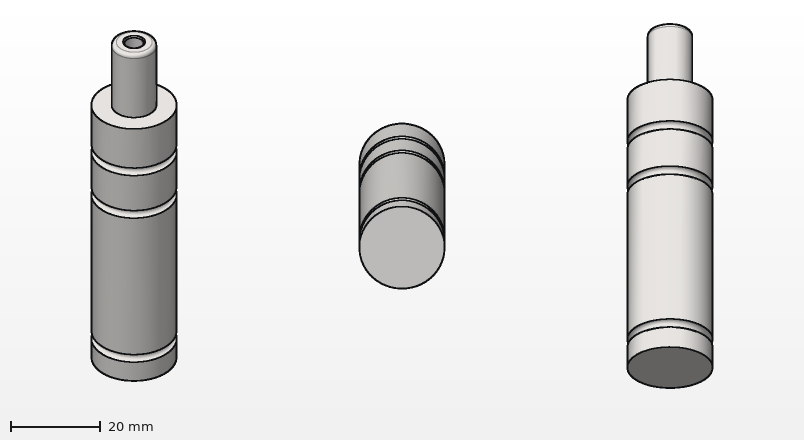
import cadquery as cq
import math

total_length = 85.0
body_length = 68.0
body_radius = 9.5
rod_radius = 5.0
rod_rim_radius = 1.0

groove_radius = 1.0
groove_heights = (6.1, 45.0, 56.4)

hole_radius = 2.1
hole_mouth_radius = 2.5
hole_depth = 10.0
drill_tip_angle = 118.0
hole_chamfer = hole_mouth_radius - hole_radius
drill_tip_length = hole_radius / math.tan(math.radians(drill_tip_angle / 2))


def body_with_rod():
    """Revolve the half section of the grooved body and the round-edged rod."""
    section = cq.Workplane("XZ").lineTo(body_radius, 0)
    for height in groove_heights:
        section = section.lineTo(body_radius, height - groove_radius).threePointArc(
            (body_radius - groove_radius, height),
            (body_radius, height + groove_radius),
        )
    rim_inset = rod_rim_radius * (1 - math.sqrt(0.5))
    section = (
        section.lineTo(body_radius, body_length)
        .lineTo(rod_radius, body_length)
        .lineTo(rod_radius, total_length - rod_rim_radius)
        .threePointArc(
            (rod_radius - rim_inset, total_length - rim_inset),
            (rod_radius - rod_rim_radius, total_length),
        )
        .lineTo(0, total_length)
        .close()
    )
    return section.revolve(360, (0, 0, 0), (0, 1, 0))


def rod_end_hole():
    """Chamfered blind hole with its drill tip, as a solid to cut away."""
    hole_floor = total_length - hole_depth
    return (
        cq.Workplane("XZ")
        .moveTo(0, hole_floor - drill_tip_length)
        .lineTo(hole_radius, hole_floor)
        .lineTo(hole_radius, total_length - hole_chamfer)
        .lineTo(hole_mouth_radius, total_length)
        .lineTo(0, total_length)
        .close()
        .revolve(360, (0, 0, 0), (0, 1, 0))
    )


result = body_with_rod().cut(rod_end_hole())